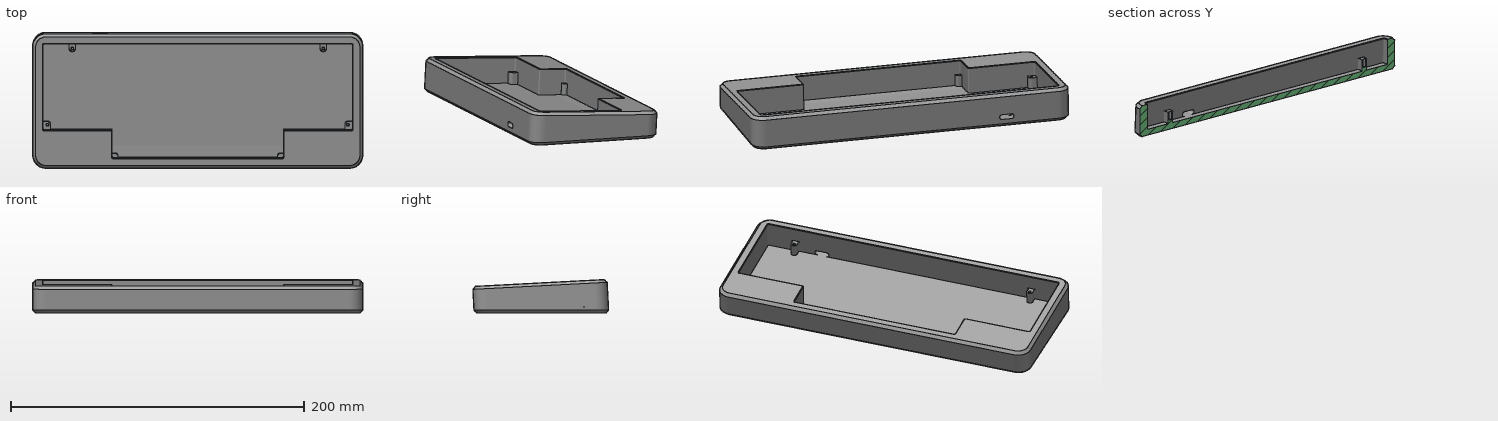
import cadquery as cq
import math

width = 225.3
depth = 92.0
back_height = 23.0
tilt = math.radians(3)
corner_radius = 9.0
edge_chamfer = 2.0

pocket_half_width = 105.7
pocket_back = 39.0
pocket_front = -19.8
bay_half_width = 58.4
bay_front = -39.0
pocket_depth = 18.0
pocket_corner_radius = 1.0
rim_chamfer = 0.5
level_floor_start = -30.5

post_radius = 2.15
post_flare_radius = 0.7
post_hole_diameter = 1.8
post_hole_depth = 5.6
post_top_drop = 10.0
back_post_x = 85.6
back_post_y = 35.4
corner_post_x = 102.5
corner_post_y = -16.7
bay_post_x = 56.5
bay_post_y = -38.3
post_length = pocket_depth - post_top_drop

slot_x = -66.7
slot_width = 10.1
slot_height = 3.4
slot_lead_in = 2.3

top_normal = cq.Vector(0, -math.sin(tilt), math.cos(tilt))
middle_height = back_height - (depth / 2 - edge_chamfer) * math.sin(tilt)
level_floor_height = middle_height - pocket_depth / math.cos(tilt) + level_floor_start * math.tan(tilt)


def tilted(drop=0.0):
    """Workplane parallel to the top face, the given distance below it."""
    origin = cq.Vector(0, 0, middle_height) - top_normal * drop
    return cq.Workplane(cq.Plane(origin, (1, 0, 0), top_normal))


def space_above(height):
    """Block larger than the case that starts at the given height."""
    return cq.Workplane("XY", origin=(0, 0, height)).rect(2 * width, 2 * depth).extrude(2 * back_height)


def make_shell():
    block = tilted().rect(width, depth).extrude(-2 * back_height)
    block = block.edges(cq.selectors.ParallelDirSelector(top_normal)).fillet(corner_radius)
    block = block.faces(cq.selectors.DirectionMinMaxSelector(top_normal)).chamfer(edge_chamfer)
    block = block.intersect(space_above(0))
    return block.faces("<Z").chamfer(edge_chamfer)


def make_pocket():
    outline = [
        (-pocket_half_width, pocket_back),
        (pocket_half_width, pocket_back),
        (pocket_half_width, pocket_front),
        (bay_half_width, pocket_front),
        (bay_half_width, bay_front),
        (-bay_half_width, bay_front),
        (-bay_half_width, pocket_front),
        (-pocket_half_width, pocket_front),
    ]
    pocket = tilted().polyline(outline).close().extrude(-pocket_depth)
    pocket = pocket.edges(cq.selectors.ParallelDirSelector(top_normal)).fillet(pocket_corner_radius)
    return pocket.intersect(space_above(level_floor_height))


def chamfer_rim(case):
    """Break the edge where the pocket opens through the top face."""
    top_face = case.faces(cq.selectors.DirectionMinMaxSelector(top_normal)).val()
    return case.newObject(top_face.innerWires()[0].Edges()).chamfer(rim_chamfer)


def back_post(side):
    """Round-nosed post that flares into the back wall."""
    x = side * back_post_x
    left = x - post_radius
    right = x + post_radius
    flare_start = pocket_back - post_flare_radius
    outline = (
        tilted(post_top_drop)
        .moveTo(left - post_flare_radius, pocket_back)
        .radiusArc((left, flare_start), post_flare_radius)
        .lineTo(left, back_post_y)
        .threePointArc((x, back_post_y - post_radius), (right, back_post_y))
        .lineTo(right, flare_start)
        .radiusArc((right + post_flare_radius, pocket_back), post_flare_radius)
        .close()
    )
    return outline.extrude(-post_length)


def corner_post(side, x, y, wall_x, wall_y):
    """Post that fills the corner between a side wall and a front wall, rounded on its free corner."""
    diagonal = post_radius * math.sqrt(0.5)
    outline = (
        tilted(post_top_drop)
        .moveTo(side * wall_x, wall_y)
        .lineTo(side * wall_x, y + post_radius)
        .lineTo(side * x, y + post_radius)
        .threePointArc((side * (x - diagonal), y + diagonal), (side * (x - post_radius), y))
        .lineTo(side * (x - post_radius), wall_y)
        .close()
    )
    return outline.extrude(-post_length)


def post_hole(x, y):
    return tilted(post_top_drop).center(x, y).circle(post_hole_diameter / 2).extrude(-post_hole_depth)


def make_slot():
    """Rounded slot that runs from the pocket out through the back wall."""
    start = tilted(pocket_depth - slot_height / 2).plane.toWorldCoords((slot_x, 0, 0))
    start = start + tilted().plane.yDir * (pocket_back - slot_lead_in)
    wall = cq.Workplane(cq.Plane(start, (-1, 0, 0), tilted().plane.yDir))
    return wall.slot2D(slot_width, slot_height).extrude(depth)


result = chamfer_rim(make_shell().cut(make_pocket())).cut(make_slot())
for side in (-1, 1):
    result = result.union(back_post(side))
    result = result.union(corner_post(side, corner_post_x, corner_post_y, pocket_half_width, pocket_front))
    result = result.union(corner_post(side, bay_post_x, bay_post_y, bay_half_width, bay_front))
    result = result.cut(post_hole(side * back_post_x, back_post_y))
    result = result.cut(post_hole(side * corner_post_x, corner_post_y))